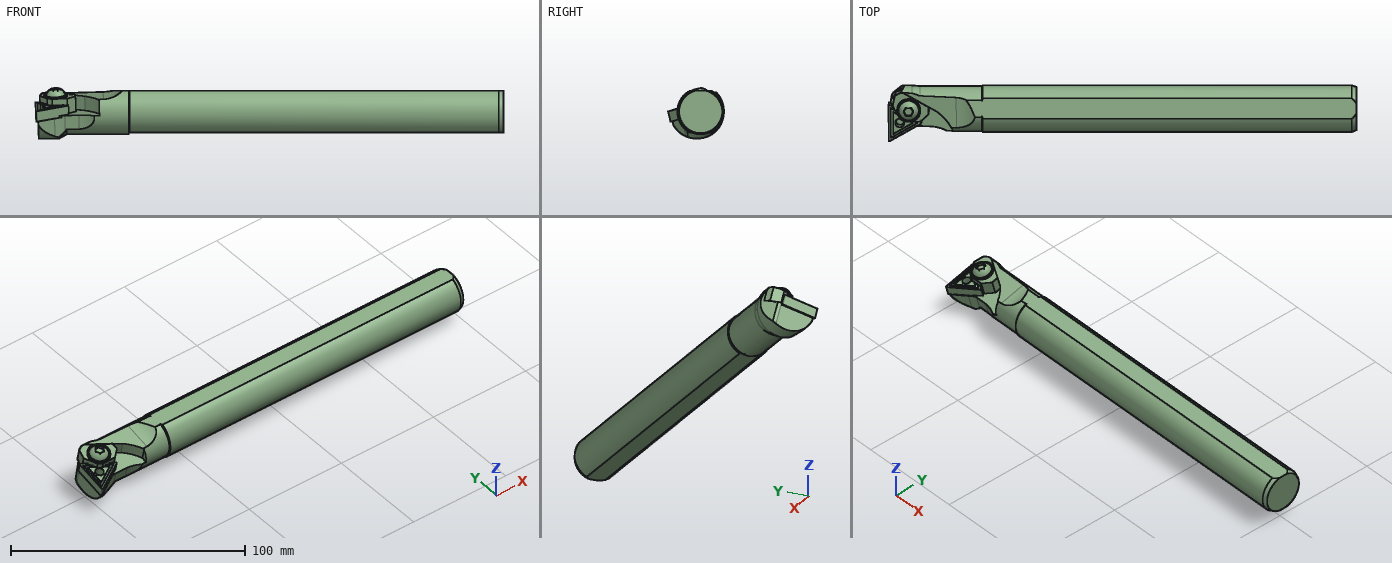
import cadquery as cq
import math


length = 200.0
shank_radius = 10.0
flat_height = 9.0
end_chamfer_length = 2.0
end_chamfer_depth = 0.8
shoulder_chamfer = 0.5

head_length = 40.0
head_step = 0.3
head_radius = shank_radius - head_step
nose_length = 10.0
nose_radius = 11.5
nose_offset = -1.5
nose_taper_length = 3.5

tip_x = 0.15
tip_y = -14.2
tip_z = 0.0
slope_x = 0.04
slope_y = 0.25

insert_side = 16.5
insert_thickness = 4.5
insert_corner_radius = 0.3
insert_hole_radius = 1.9
land_width = 1.0
groove_width = 1.0
groove_depth = 0.2

screw_u = 8.8
screw_v = 14.5
screw_radius = 4.5
screw_height = 3.5
screw_collar_radius = 5.0
screw_collar_height = 0.5
socket_width = 3.5
socket_depth = 1.8

clamp_angle = math.radians(30)
clamp_height = 2.8
clamp_front = 5.2
clamp_shoulder = 2.0
clamp_back = 5.5
clamp_front_half_width = 1.2
clamp_shoulder_half_width = 6.8
clamp_waist = -2.5
clamp_waist_half_width = 8.2
clamp_back_half_width = 6.5

gash_height = 2.5
gash_flat_length = 29.0
gash_runout_radius = 16.0
gash_runout_angle = 45.0
pocket_depth = 3.8
pocket_wall_straight = 11.0
pocket_wall_middle = (24.0, 11.0)
pocket_wall_end = (27.2, 6.5)

end_face_u = 0.8
relief_start = (end_face_u, 1.0)
relief_bend = (7.8, 5.0)
relief_bend_middle = (10.0, 5.8)
relief_flat_start = (12.2, 6.0)
relief_flat_end = (18.2, 5.8)
relief_runout_middle = (22.8, 4.8)
relief_runout_end = (26.5, 2.8)
back_chamfer_top = (8.5, 25.8)
back_chamfer_foot = (1.2, 18.0)
end_face_top = (end_face_u, 16.5)

reach = 60.0

tilted = cq.Plane(origin=(tip_x, tip_y, tip_z), xDir=(1, 0, slope_x), normal=(-slope_x, -slope_y, 1))


def tilted_level(height):
    """Workplane parallel to the insert's top face, raised along its normal."""
    return cq.Workplane(tilted).workplane(offset=height)


def round_bar(radius, start, end, y=0.0):
    return cq.Workplane("YZ", origin=(start, y, 0)).circle(radius).extrude(end - start)


def make_shank():
    profile = [
        (head_length, 0),
        (head_length, shank_radius - shoulder_chamfer),
        (head_length + shoulder_chamfer, shank_radius),
        (length - end_chamfer_length, shank_radius),
        (length, shank_radius - end_chamfer_depth),
        (length, 0),
    ]
    shank = cq.Workplane("XY").polyline(profile).close().revolve(360, (0, 0, 0), (1, 0, 0))
    flats = cq.Workplane("XY").box(3 * length, 4 * shank_radius, 2 * flat_height)
    return shank.intersect(flats)


def make_nose():
    return round_bar(nose_radius, 0, nose_length, nose_offset)


def make_nose_taper():
    """Ruled transition between the offset nose circle and the head circle."""
    return (
        cq.Workplane("YZ", origin=(nose_length, 0, 0))
        .center(nose_offset, 0)
        .circle(nose_radius)
        .workplane(offset=nose_taper_length)
        .center(-nose_offset, 0)
        .circle(head_radius)
        .loft(ruled=True)
    )


def make_head():
    head = round_bar(head_radius, nose_length + nose_taper_length, head_length)
    top_cut = cq.Workplane("XY").box(2 * length, reach, reach).translate((0, 0, flat_height + reach / 2))
    return head.union(make_nose_taper()).cut(top_cut).union(make_nose())


def make_outline():
    """Prism that limits the head: end face, cutting-side relief and back chamfer."""
    return (
        tilted_level(-reach / 2)
        .moveTo(*relief_start)
        .lineTo(*relief_bend)
        .threePointArc(relief_bend_middle, relief_flat_start)
        .lineTo(*relief_flat_end)
        .threePointArc(relief_runout_middle, relief_runout_end)
        .lineTo(relief_runout_end[0], -reach)
        .lineTo(reach, -reach)
        .lineTo(reach, reach)
        .lineTo(back_chamfer_top[0], reach)
        .lineTo(*back_chamfer_top)
        .lineTo(*back_chamfer_foot)
        .lineTo(*end_face_top)
        .close()
        .extrude(reach)
    )


def make_gash():
    """Sloped relief that rises to the bar's top through a tangent arc."""
    def runout(angle):
        turn = math.radians(angle)
        return (
            gash_flat_length + gash_runout_radius * math.sin(turn),
            gash_height + gash_runout_radius * (1 - math.cos(turn)),
        )

    side = cq.Plane(origin=tilted.origin, xDir=tilted.xDir, normal=-tilted.yDir)
    end_u = runout(gash_runout_angle)[0]
    return (
        cq.Workplane(side)
        .moveTo(-reach, gash_height)
        .lineTo(gash_flat_length, gash_height)
        .threePointArc(runout(gash_runout_angle / 2), runout(gash_runout_angle))
        .lineTo(end_u, reach)
        .lineTo(-reach, reach)
        .close()
        .extrude(reach, both=True)
    )


def clamp_point(forward, across):
    """Point in the insert plane, given along and across the clamp's axis through the screw."""
    cosine = math.cos(clamp_angle)
    sine = math.sin(clamp_angle)
    return (
        screw_u - forward * sine + across * cosine,
        screw_v - forward * cosine - across * sine,
    )


def make_pocket():
    """Chip pocket in front of a wall that is parallel to the insert's back edge."""
    return (
        tilted_level(-pocket_depth)
        .moveTo(*clamp_point(-clamp_back, -reach))
        .lineTo(*clamp_point(-clamp_back, pocket_wall_straight))
        .threePointArc(pocket_wall_middle, pocket_wall_end)
        .lineTo(pocket_wall_end[0], -reach)
        .lineTo(-reach, -reach)
        .close()
        .extrude(reach)
    )


def make_clamp():
    half_outline = [
        (clamp_front, clamp_front_half_width),
        (clamp_shoulder, clamp_shoulder_half_width),
        (clamp_waist, clamp_waist_half_width),
        (-clamp_back, clamp_back_half_width),
    ]
    outline = [clamp_point(forward, across) for forward, across in half_outline]
    outline += [clamp_point(forward, -across) for forward, across in reversed(half_outline)]
    plate = (
        tilted_level(-pocket_depth)
        .polyline(outline)
        .close()
        .extrude(pocket_depth + clamp_height)
    )
    return plate.intersect(round_bar(nose_radius, 0, head_length, nose_offset))


def make_screw():
    sphere_radius = (screw_radius**2 + screw_height**2) / (2 * screw_height)
    dome = tilted_level(clamp_height + screw_height - sphere_radius).center(screw_u, screw_v)
    dome = dome.sphere(sphere_radius)
    shaft = tilted_level(0.0).center(screw_u, screw_v).circle(screw_radius).extrude(reach)
    collar = tilted_level(0.0).center(screw_u, screw_v).circle(screw_collar_radius)
    return dome.intersect(shaft).union(collar.extrude(clamp_height + screw_collar_height))


def make_socket():
    corner_diameter = socket_width / math.cos(math.radians(30))
    return (
        tilted_level(clamp_height + screw_height - socket_depth)
        .center(screw_u, screw_v)
        .polygon(6, corner_diameter)
        .extrude(reach)
    )


def triangle(height, thickness, inset=0.0):
    """Equilateral prism with its left edge along v, shrunk evenly by the inset."""
    side = insert_side - 2 * math.sqrt(3) * inset
    low_v = math.sqrt(3) * inset
    corners = [
        (inset, low_v),
        (inset + side * math.sqrt(3) / 2, low_v + side / 2),
        (inset, low_v + side),
    ]
    return tilted_level(height).polyline(corners).close().extrude(thickness)


def make_insert_blank():
    blank = triangle(-insert_thickness, insert_thickness)
    corner_edges = cq.selectors.ParallelDirSelector(tilted.zDir)
    return blank.edges(corner_edges).fillet(insert_corner_radius)


def make_insert():
    centre_u = insert_side / (2 * math.sqrt(3))
    hole = (
        tilted_level(-insert_thickness)
        .center(centre_u, insert_side / 2)
        .circle(insert_hole_radius)
        .extrude(insert_thickness)
    )
    groove = triangle(-groove_depth, groove_depth, land_width).cut(
        triangle(-groove_depth, groove_depth, land_width + groove_width)
    )
    return make_insert_blank().cut(hole).cut(groove)


def make_bar():
    head = make_head().intersect(make_outline()).cut(make_gash()).cut(make_pocket())
    bar = make_shank().union(head).union(make_clamp())
    return bar.cut(make_insert_blank()).union(make_screw()).cut(make_socket())


bar = make_bar()
insert = make_insert()

result = cq.Compound.makeCompound([bar.val(), insert.val()])